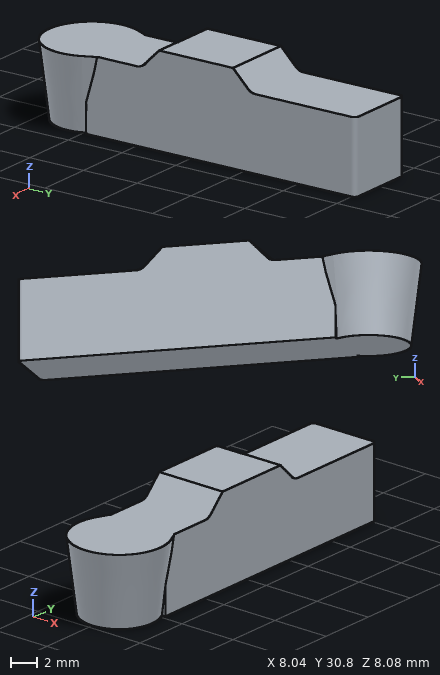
import cadquery as cq
import math

TOTAL_LENGTH = 30.81
TOTAL_HEIGHT = 8.08

HEAD_RADIUS = 8.04 / 2
HEAD_DRAFT = 7.0
NECK_ANGLE = 25.0
NECK_BEND_Y = 2.53
NECK_BEND_ANGLE = 35.0

BAR_WIDTH = 6.24
HUMP_HEIGHT = 1.68
DECK_HEIGHT = TOTAL_HEIGHT - HUMP_HEIGHT
REAR_CORNER_RADIUS = 0.4

HUMP_TOP_LENGTH = 6.87
HUMP_REAR_DISTANCE = 11.42
RAMP_FILLET_RADIUS = 1.0
FOOT_REACH = 0.1

NECK_X = HEAD_RADIUS * math.cos(math.radians(NECK_ANGLE))
NECK_Y = HEAD_RADIUS * math.sin(math.radians(NECK_ANGLE))
NECK_BEND_X = NECK_X - (NECK_BEND_Y - NECK_Y) * math.tan(math.radians(NECK_ANGLE))
NECK_TIP_Y = NECK_BEND_Y + NECK_BEND_X / math.tan(math.radians(NECK_BEND_ANGLE))
REAR_Y = TOTAL_LENGTH - HEAD_RADIUS
BAR_FRONT_Y = NECK_Y
HUMP_REAR_Y = REAR_Y - HUMP_REAR_DISTANCE
HUMP_FRONT_Y = HUMP_REAR_Y - HUMP_TOP_LENGTH
RAMP_REAR_Y = HUMP_REAR_Y + HUMP_HEIGHT
RAMP_FRONT_Y = HUMP_FRONT_Y - HUMP_HEIGHT


def ramp_foot(body, foot_y):
    """Round the inside corner where a ramp meets the deck."""
    corner_box = cq.selectors.BoxSelector(
        (-BAR_WIDTH, foot_y - FOOT_REACH, DECK_HEIGHT - FOOT_REACH),
        (BAR_WIDTH, foot_y + FOOT_REACH, DECK_HEIGHT + FOOT_REACH),
    )
    return body.edges(corner_box).fillet(RAMP_FILLET_RADIUS)


def make_bar():
    """Straight bar with the raised hump, drawn as a side profile and extruded across X."""
    profile = [
        (BAR_FRONT_Y, 0),
        (REAR_Y, 0),
        (REAR_Y, DECK_HEIGHT),
        (RAMP_REAR_Y, DECK_HEIGHT),
        (HUMP_REAR_Y, TOTAL_HEIGHT),
        (HUMP_FRONT_Y, TOTAL_HEIGHT),
        (RAMP_FRONT_Y, DECK_HEIGHT),
        (BAR_FRONT_Y, DECK_HEIGHT),
    ]
    bar = cq.Workplane("YZ").polyline(profile).close().extrude(BAR_WIDTH / 2, both=True)
    for foot_y in (RAMP_REAR_Y, RAMP_FRONT_Y):
        bar = ramp_foot(bar, foot_y)
    return bar.faces(">Y").edges("|Z").fillet(REAR_CORNER_RADIUS)


def make_head():
    """Drafted teardrop: a round nose whose tangent flats and steeper rear flats run back into the bar."""
    return (
        cq.Workplane("XY", origin=(0, 0, DECK_HEIGHT))
        .moveTo(NECK_X, NECK_Y)
        .lineTo(NECK_BEND_X, NECK_BEND_Y)
        .lineTo(0, NECK_TIP_Y)
        .lineTo(-NECK_BEND_X, NECK_BEND_Y)
        .lineTo(-NECK_X, NECK_Y)
        .threePointArc((0, -HEAD_RADIUS), (NECK_X, NECK_Y))
        .close()
        .extrude(-DECK_HEIGHT, taper=HEAD_DRAFT)
    )


result = make_bar().union(make_head())